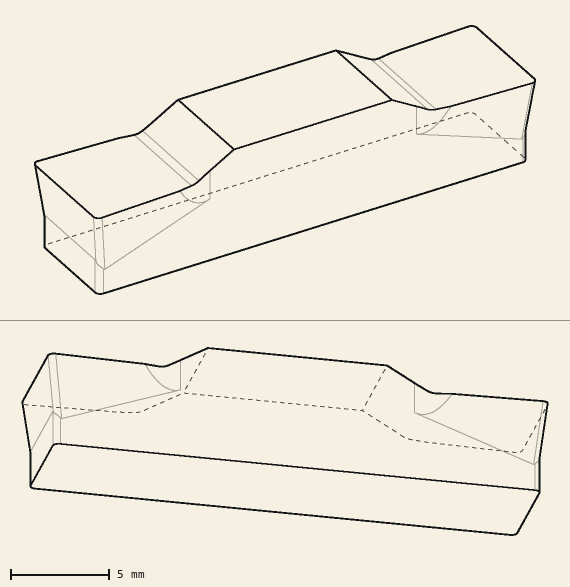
import cadquery as cq
import math

length = 26.0
height = 6.15
body_width = 5.56
seat_height = 4.84
corner_radius = 0.3

ridge_length = 9.3
ramp_angle = 30.0
ramp_blend_radius = 0.94

end_overhang = 0.35
relief_start_height = 1.95

tip_width = 6.37
flank_rise_slope = 0.11
flank_length_slope = 0.04

blend_start = 6.08
blend_radius = 9.0
blend_sweep = 25.0

half_length = length / 2
half_body = body_width / 2
base_half_length = half_length - end_overhang
end_slope = end_overhang / (seat_height - relief_start_height)


def make_side_profile():
    """Solid with the stepped YZ outline, wider than the finished insert."""
    ridge_end = ridge_length / 2
    ramp_end = ridge_end + (height - seat_height) / math.tan(math.radians(ramp_angle))
    outline = [
        (-half_length, 0),
        (half_length, 0),
        (half_length, seat_height),
        (ramp_end, seat_height),
        (ridge_end, height),
        (-ridge_end, height),
        (-ramp_end, seat_height),
        (-half_length, seat_height),
    ]
    profile = cq.Workplane("YZ").polyline(outline).close().extrude(tip_width, both=True)
    for end in (-1, 1):
        ramp_foot = cq.selectors.NearestToPointSelector((0, end * ramp_end, seat_height))
        profile = profile.edges("|X").edges(ramp_foot).fillet(ramp_blend_radius)
    return profile


def make_body():
    """Straight-sided block with rounded vertical corners."""
    block = cq.Workplane("XY").rect(body_width, 2 * base_half_length).extrude(height)
    return block.edges("|Z").fillet(corner_radius)


def head_section(z):
    """Plan outline of the flared +Y head at height z."""
    end_y = half_length + end_slope * (z - seat_height)

    def half_width(y):
        drop = flank_rise_slope * (seat_height - z)
        taper = flank_length_slope * (half_length - y)
        return tip_width / 2 - drop - taper

    inner = half_width(blend_start)
    outer = half_width(end_y)
    return [(-inner, blend_start), (inner, blend_start), (outer, end_y), (-outer, end_y)]


def make_head():
    """Flared +Y head, narrowing downward and inward until it sinks into the body."""
    flared = (
        cq.Workplane("XY")
        .polyline(head_section(0)).close()
        .workplane(offset=height)
        .polyline(head_section(height)).close()
        .loft(ruled=True)
    )
    flared = flared.faces(">Y").edges("not |X").fillet(corner_radius)

    arc_angle = math.radians(blend_sweep)
    arc_length = blend_radius * math.sin(arc_angle)
    arc_flare = blend_radius * (1 - math.cos(arc_angle))
    mid_length = blend_radius * math.sin(arc_angle / 2)
    mid_flare = blend_radius * (1 - math.cos(arc_angle / 2))
    arc_end = (half_body + arc_flare, blend_start + arc_length)
    arc_mid = (half_body + mid_flare, blend_start + mid_length)
    blend = (
        cq.Workplane("XY")
        .moveTo(-half_body, blend_start)
        .lineTo(half_body, blend_start)
        .threePointArc(arc_mid, arc_end)
        .lineTo(arc_end[0], length)
        .lineTo(-arc_end[0], length)
        .lineTo(-arc_end[0], arc_end[1])
        .threePointArc((-arc_mid[0], arc_mid[1]), (-half_body, blend_start))
        .close()
        .extrude(height)
    )
    return flared.intersect(blend)


head = make_head()
blank = make_body().union(head).union(head.mirror("XZ"))
result = blank.intersect(make_side_profile())